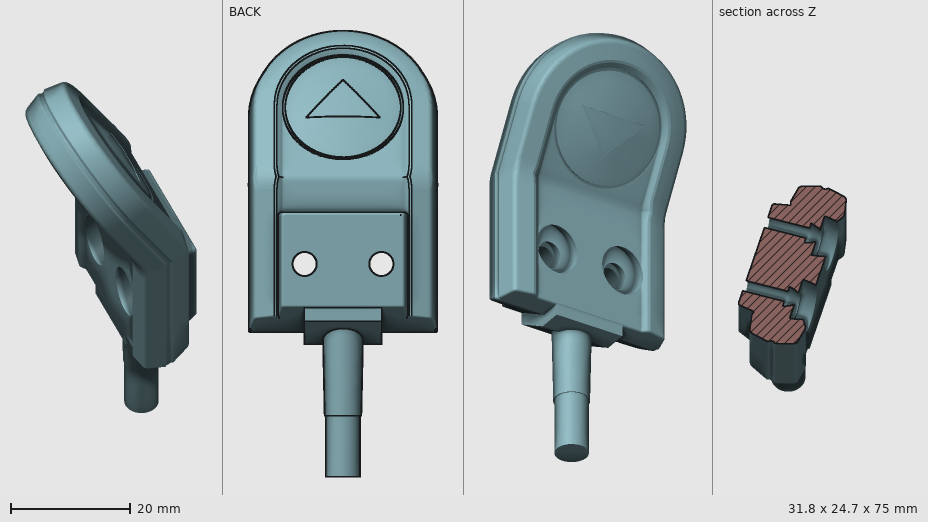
import cadquery as cq
import math


HALF_WIDTH = 15.87
HALF_THICKNESS = 4.78
SEAM_Y = -1.73
SIDE_DRAFT = 15.0
CROWN_ANGLE = 10.0
EDGE_RADIUS = 1.0
GROOVE_WIDTH = 1.3
GROOVE_FLOOR_WIDTH = 0.5
GROOVE_DEPTH = 0.3

BEND_Z = 25.0
LEAN = 30.0
BEND_RADIUS = 8.0
HEAD_LENGTH = 12.52
BOTTOM_SLOPE = 30.0
BOTTOM_RADIUS = 0.4

CHANNEL_HALF_WIDTH = 11.3
CHANNEL_DEPTH = 0.75
CHANNEL_WALL_RUN = 1.1
CHANNEL_BEND_RADIUS = 3.0
CHANNEL_LIP = 0.25
CHANNEL_FILLET = 0.4

BUTTON_RADIUS = 9.7
BUTTON_RISE = 1.0
BUTTON_GROOVE_WIDTH = 0.45
BUTTON_GROOVE_DEPTH = 0.3
ARROW_HALF_WIDTH = 6.2
ARROW_TOP = 2.3
ARROW_TIP = 4.9
ARROW_DEPTH = 0.1

PAD_BACK_Y = 5.79
PAD_TOP_Z = 20.2
PAD_BASE_HALF_WIDTH = 10.85
PAD_DRAFT = 11.0
PAD_CORNER_RADIUS = 0.7
PAD_EDGE_RADIUS = 0.5

HOLE_SPACING = 12.9
HOLE_Z = 11.5
HOLE_RADIUS = 2.0
HOLE_TILT = 30.0
HOLE_LEAD_RADIUS = 2.2
HOLE_LEAD_Z = 11.0
HOLE_LEAD_DEPTH = 1.8
COUNTERBORE_RADIUS = 4.0
COUNTERBORE_DEPTH = 2.4
COUNTERBORE_MOUTH_Z = 10.9

PLATE_WIDTH = 13.0
PLATE_FRONT_Y = -5.65
PLATE_BACK_Y = 5.5
PLATE_DROP = 2.0
PLATE_RIDGE_Y = -1.2
BOOT_TOP_RADIUS = 3.4
BOOT_END_RADIUS = 3.1
BOOT_END_Z = -14.0
CABLE_RADIUS = 2.9
CABLE_END_Z = -24.25

FLOOR_Y = HALF_THICKNESS - CHANNEL_DEPTH
FLOOR_HALF_WIDTH = CHANNEL_HALF_WIDTH - CHANNEL_WALL_RUN

REACH = 60.0
OVERLAP = 1.0
EDGE_TOLERANCE = 0.15
NORMAL_TOLERANCE = 0.01


def tan(angle):
    return math.tan(math.radians(angle))


def lean(shape):
    """Move a shape from bend coordinates (arm along +Z) onto the leaning head."""
    return shape.rotate((0, 0, 0), (1, 0, 0), LEAN)


def from_bend(shape):
    """Move a shape from bend coordinates to part coordinates."""
    return shape.translate((0, SEAM_Y, BEND_Z))


def mitre_half(above):
    """Half-space on one side of the plane that halves the bend angle."""
    box = cq.Workplane("XY").box(REACH * 2, REACH * 2, REACH * 2)
    box = box.translate((0, 0, REACH if above else -REACH))
    return box.rotate((0, 0, 0), (1, 0, 0), LEAN / 2)


def section_corner():
    """X, Y of the sharp corner between the drafted side and the sloping crown."""
    mouth = GROOVE_WIDTH / 2
    crown = tan(CROWN_ANGLE)
    draft = tan(SIDE_DRAFT)
    crown_run = HALF_WIDTH + mouth * draft - CHANNEL_HALF_WIDTH
    y = (HALF_THICKNESS - crown_run * crown) / (1 - draft * crown)
    return HALF_WIDTH - (y - mouth) * draft, y


def half_section():
    """Points of the +X half of the housing section, from back centre to front centre."""
    back = [
        (0, FLOOR_Y),
        (FLOOR_HALF_WIDTH, FLOOR_Y),
        (CHANNEL_HALF_WIDTH, HALF_THICKNESS),
        section_corner(),
        (HALF_WIDTH, GROOVE_WIDTH / 2),
        (HALF_WIDTH - GROOVE_DEPTH, GROOVE_FLOOR_WIDTH / 2),
    ]
    front = [(x, -y) for x, y in reversed(back)]
    return back + front


def make_arm(half, length, round_end):
    """Arm along +Z with the given half section, with an optional turned end."""
    left = [(-x, y) for x, y in reversed(half) if x > 0]
    arm = cq.Workplane("XY").polyline(half + left).close().extrude(length)
    if round_end:
        end = cq.Workplane("XY").polyline(half).close().revolve(180, (0, 0), (0, -1))
        arm = arm.union(end.translate((0, 0, length)))
    return arm


def make_bent_arm():
    """Upright body and leaning head, joined at a sharp mitre."""
    half = half_section()
    lower = make_arm(half, REACH, False).translate((0, 0, -REACH / 2))
    lower = lower.intersect(mitre_half(False))
    head = make_arm(half, HEAD_LENGTH + REACH / 2, True).translate((0, 0, -REACH / 2))
    head = lean(head).intersect(mitre_half(True))
    return from_bend(lower.union(head))


def runs_along(edge, x):
    """True for an edge that follows the arm at section half-width x."""
    if edge.geomType() == "CIRCLE":
        return abs(edge.radius() - x) < EDGE_TOLERANCE
    box = edge.BoundingBox()
    return box.xlen < 2 * EDGE_TOLERANCE and abs(abs(edge.Center().x) - x) < EDGE_TOLERANCE


def crosses_bend(edge, x_min, x_max):
    """True for an edge across a front or back face at the bend, centred between two X distances."""
    centre = edge.Center()
    near_bend = abs(centre.z - BEND_Z) < HALF_THICKNESS * tan(LEAN)
    on_face = abs(centre.y - SEAM_Y) > HALF_THICKNESS - 2 * CHANNEL_DEPTH
    is_wide = edge.BoundingBox().xlen > 2 * CHANNEL_WALL_RUN
    return near_bend and on_face and is_wide and x_min <= abs(centre.x) <= x_max


def fillet_where(body, test, radius):
    return body.newObject([edge for edge in body.edges().vals() if test(edge)]).fillet(radius)


def round_housing(body):
    corner_x, _ = section_corner()
    body = fillet_where(body, lambda edge: runs_along(edge, corner_x), EDGE_RADIUS)
    body = fillet_where(body, lambda edge: crosses_bend(edge, CHANNEL_HALF_WIDTH, corner_x), BEND_RADIUS)
    body = fillet_where(body, lambda edge: crosses_bend(edge, 0, EDGE_TOLERANCE), CHANNEL_BEND_RADIUS)
    body = fillet_where(body, lambda edge: runs_along(edge, FLOOR_HALF_WIDTH), CHANNEL_FILLET)
    lips = [edge for edge in body.edges().vals() if runs_along(edge, CHANNEL_HALF_WIDTH)]
    return body.newObject(lips).chamfer(CHANNEL_LIP)


def make_pad():
    """Drafted mounting block on the back of the body."""
    floor_y = SEAM_Y + FLOOR_Y
    mouth_y = SEAM_Y + HALF_THICKNESS
    draft = tan(PAD_DRAFT)
    back_half_width = PAD_BASE_HALF_WIDTH - (PAD_BACK_Y - mouth_y) * draft
    root_half_width = PAD_BASE_HALF_WIDTH + (mouth_y - floor_y) * draft
    root_y = floor_y - OVERLAP
    outline = [
        (-root_half_width, root_y),
        (-root_half_width, floor_y),
        (-back_half_width, PAD_BACK_Y),
        (back_half_width, PAD_BACK_Y),
        (root_half_width, floor_y),
        (root_half_width, root_y),
    ]
    pad = cq.Workplane("XY").polyline(outline).close().extrude(PAD_TOP_Z)
    top_sides = pad.faces(">Z").edges("not (|X or |Y)")
    pad = top_sides.fillet(PAD_CORNER_RADIUS)
    return pad.faces(">Y").edges("not <Z").fillet(PAD_EDGE_RADIUS)


def slope_z(y):
    """Height of the sloping rear part of the bottom at a given Y."""
    return (y - SEAM_Y) * tan(BOTTOM_SLOPE)


def trim_bottom(body):
    """Cut the body off flat under its front half and sloping up under its back half."""
    waste = [
        (-REACH, 0),
        (SEAM_Y, 0),
        (REACH, slope_z(REACH)),
        (REACH, -REACH),
        (-REACH, -REACH),
    ]
    return body.cut(cq.Workplane("YZ").polyline(waste).close().extrude(REACH, both=True))


def round_bottom(body):
    slope = math.radians(BOTTOM_SLOPE)
    normals = [cq.Vector(0, 0, -1), cq.Vector(0, math.sin(slope), -math.cos(slope))]
    rim = []
    for face in body.faces().vals():
        if any((face.normalAt() - normal).Length < NORMAL_TOLERANCE for normal in normals):
            rim += face.Edges()
    ridge = cq.Vector(0, SEAM_Y, 0)
    rim = [edge for edge in rim if (edge.Center() - ridge).Length > EDGE_TOLERANCE]
    return body.newObject(rim).fillet(BOTTOM_RADIUS)


def disc(radius, start_y, depth, z=0):
    """Cylinder along +Y, centred at height z."""
    return cq.Workplane("XZ", origin=(0, start_y, z)).circle(radius).extrude(-depth)


def ball(radius, centre_y):
    return cq.Workplane("XY").sphere(radius).translate((0, centre_y, 0))


def button_shapes():
    """Dome, ring groove and arrow recess of the front button, about the head centre."""
    ball_radius = (BUTTON_RADIUS**2 + BUTTON_RISE**2) / (2 * BUTTON_RISE)
    ball_y = -FLOOR_Y - BUTTON_RISE + ball_radius
    outer_y = -FLOOR_Y - 2 * BUTTON_RISE
    column = disc(BUTTON_RADIUS, outer_y, 2 * BUTTON_RISE + OVERLAP)
    dome = column.intersect(ball(ball_radius, ball_y))

    ring = disc(BUTTON_RADIUS + BUTTON_GROOVE_WIDTH, outer_y, 2 * BUTTON_RISE + BUTTON_GROOVE_DEPTH)
    ring = ring.cut(disc(BUTTON_RADIUS, outer_y, 2 * BUTTON_RISE + BUTTON_GROOVE_DEPTH))

    outline = [(-ARROW_HALF_WIDTH, ARROW_TOP), (ARROW_HALF_WIDTH, ARROW_TOP), (0, -ARROW_TIP)]
    arrow = cq.Workplane("XZ", origin=(0, outer_y, 0)).polyline(outline).close().extrude(-2 * BUTTON_RISE)
    arrow = arrow.cut(ball(ball_radius - ARROW_DEPTH, ball_y))
    return dome, ring, arrow


def place_button(shape, turn):
    """Put a front-button shape on the head, turned about X to reach either face."""
    shape = shape.rotate((0, 0, 0), (1, 0, 0), turn)
    return from_bend(lean(shape.translate((0, 0, HEAD_LENGTH))))


def add_buttons(body):
    dome, ring, arrow = button_shapes()
    for turn in (0, 180):
        body = body.cut(place_button(ring, turn))
        body = body.union(place_button(dome, turn))
        body = body.cut(place_button(arrow, turn))
    return body


def slanted_bore(radius, start_y, start_z, length):
    """Round bore from a start point toward +Y, rising at the hole tilt, with ends square to Y."""
    rise = length * tan(HOLE_TILT)
    height = radius / math.cos(math.radians(HOLE_TILT))
    outline = cq.Workplane("XZ", origin=(0, start_y, start_z)).ellipse(radius, height).val()
    face = cq.Face.makeFromWires(outline)
    return cq.Workplane(cq.Solid.extrudeLinear(face, cq.Vector(0, length, rise)))


def cut_holes(body):
    """Counterbored through holes, entered at a slant from below the front."""
    seat_y = SEAM_Y - FLOOR_Y + COUNTERBORE_DEPTH
    overlap_drop = OVERLAP * tan(HOLE_TILT)
    seat_length = COUNTERBORE_DEPTH + OVERLAP
    seat_start_z = COUNTERBORE_MOUTH_Z - overlap_drop
    lead_length = HOLE_LEAD_DEPTH + OVERLAP
    lead_start_z = HOLE_LEAD_Z - overlap_drop
    cutters = [
        slanted_bore(COUNTERBORE_RADIUS, seat_y - seat_length, seat_start_z, seat_length),
        slanted_bore(HOLE_LEAD_RADIUS, seat_y - OVERLAP, lead_start_z, lead_length),
        disc(HOLE_RADIUS, seat_y - OVERLAP, REACH, HOLE_Z),
    ]
    for side in (-1, 1):
        for cutter in cutters:
            body = body.cut(cutter.translate((side * HOLE_SPACING / 2, 0, 0)))
    return body


def make_plate():
    """Closing plate under the body, following its bottom at a constant drop."""
    outline = [
        (PLATE_FRONT_Y, -PLATE_DROP),
        (PLATE_RIDGE_Y, -PLATE_DROP),
        (PLATE_BACK_Y, (PLATE_BACK_Y - PLATE_RIDGE_Y) * tan(BOTTOM_SLOPE) - PLATE_DROP),
        (PLATE_BACK_Y, slope_z(PLATE_BACK_Y) + OVERLAP),
        (SEAM_Y, OVERLAP),
        (PLATE_FRONT_Y, OVERLAP),
    ]
    return cq.Workplane("YZ").polyline(outline).close().extrude(PLATE_WIDTH / 2, both=True)


def make_cable():
    """Tapered boot and the cable stub below it."""
    outline = [
        (0, OVERLAP),
        (BOOT_TOP_RADIUS, OVERLAP),
        (BOOT_TOP_RADIUS, 0),
        (BOOT_END_RADIUS, BOOT_END_Z),
        (CABLE_RADIUS, BOOT_END_Z),
        (CABLE_RADIUS, CABLE_END_Z),
        (0, CABLE_END_Z),
    ]
    return cq.Workplane("XZ").polyline(outline).close().revolve(360, (0, 0), (0, 1))


housing = round_bottom(trim_bottom(round_housing(make_bent_arm())))
housing = housing.union(round_bottom(trim_bottom(make_pad())))
housing = cut_holes(add_buttons(housing))
result = housing.union(make_plate()).union(make_cable())